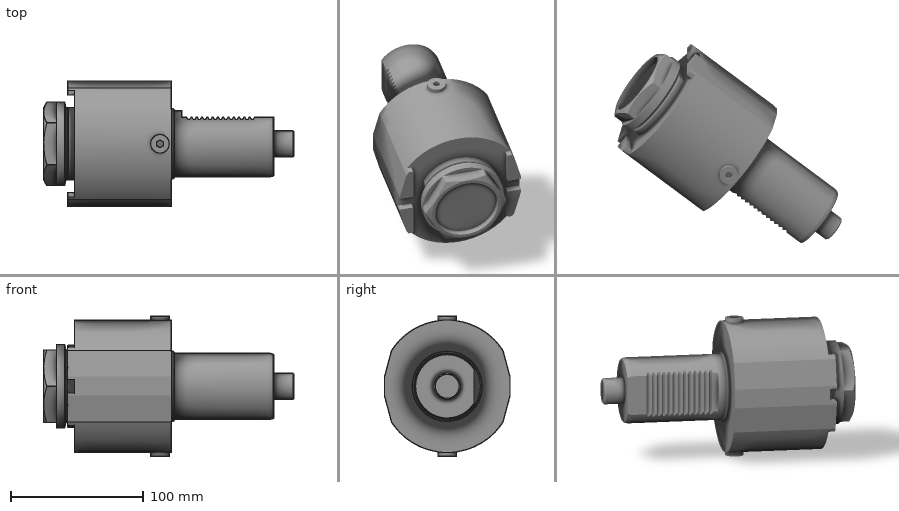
import cadquery as cq
import math

nut_hex_end = 9.9
nut_flange_end = 16.1
collar_start = 18.2
tab_front = 18.4
housing_front = 23.5
spindle_head_end = 30.3
housing_back = 96.6
seal_end = 99.0
flat_start = 104.6
shank_end = 174.2
overall_length = 189.5

nut_across_flats = 55.0
nut_flange_diameter = 63.3
nut_face_diameter = 54.0
nut_chamfer_angle = 30.0
nut_recess_diameter = 49.0
nut_recess_depth = 5.0
nut_back_cone = 1.0
collar_diameter = 62.5
collar_chamfer = 0.8
drive_diameter = 19.9
drive_chamfer = 1.0

housing_diameter = 100.0
housing_width = 95.0
side_flat_height = 14.4
side_slope_angle = 15.0
tab_inner_y = 36.8
tab_height = 59.1
tab_slot_width = 10.2
tab_corner_radius = 0.5
seal_bead_radius = 1.3
seal_outer_diameter = 53.0

shank_diameter = 50.0
end_taper_length = 3.0
end_taper_drop = 0.5
end_edge = 0.5
flat_y = 20.0
notch_count = 13
first_notch_x = 110.0
last_notch_x = 157.9
notch_opening = 3.2
notch_floor = 1.1
notch_depth = 1.7

screw_x = 88.1
screw_diameter = 14.0
screw_span = 106.0
socket_across_flats = 5.1
socket_depth = 2.8


def rod(diameter, x_start, x_end):
    """Round bar along X."""
    return cq.Workplane("YZ", origin=(x_start, 0, 0)).circle(diameter / 2).extrude(x_end - x_start)


def slab(x_start, x_end, y_size, z_size, y_center=0.0):
    """Rectangular block centred in Z."""
    block = cq.Workplane("XY").box(x_end - x_start, y_size, z_size, centered=(False, True, True))
    return block.translate((x_start, y_center, 0))


def turned(points):
    """Solid of revolution about X from (x, radius) points that start and end on the axis."""
    return cq.Workplane("XY").polyline(points).close().revolve(360, (0, 0, 0), (1, 0, 0))


def hex_corner_diameter(across_flats):
    """Diameter of the circle through the corners of a hexagon."""
    return across_flats / math.cos(math.pi / 6)


def make_nut_hex():
    """Hexagon with flats facing +Z and -Z, its corners bevelled at the face and rounded to the flange."""
    hexagon = cq.Workplane("YZ").polygon(6, hex_corner_diameter(nut_across_flats)).extrude(nut_hex_end)
    face_radius = nut_face_diameter / 2
    flange_radius = nut_flange_diameter / 2
    bevel_length = (flange_radius - face_radius) * math.tan(math.radians(nut_chamfer_angle))
    envelope = turned([
        (0, 0),
        (0, face_radius),
        (bevel_length, flange_radius),
        (nut_hex_end, flange_radius),
        (nut_hex_end, 0),
    ])
    return hexagon.intersect(envelope)


def make_spindle():
    """Rotating body: nut, collar with wrench flats, head and drive shaft."""
    neck_radius = nut_across_flats / 2
    flange_radius = nut_flange_diameter / 2
    flange = turned([
        (nut_hex_end, 0),
        (nut_hex_end, flange_radius),
        (nut_flange_end, flange_radius),
        (nut_flange_end + nut_back_cone, neck_radius),
        (collar_start, neck_radius),
        (collar_start, 0),
    ])
    collar = rod(collar_diameter, collar_start, housing_front).faces("<X").chamfer(collar_chamfer)
    collar = collar.intersect(slab(collar_start, housing_front, nut_across_flats, collar_diameter))
    head = rod(collar_diameter, housing_front, spindle_head_end)
    drive = rod(drive_diameter, spindle_head_end, overall_length).faces(">X").chamfer(drive_chamfer)
    spindle = make_nut_hex().union(flange).union(collar).union(head).union(drive)
    return spindle.cut(rod(nut_recess_diameter, 0, nut_recess_depth))


def make_housing_block():
    """Round block whose two sides are cut by an upright flat between two sloped flats."""
    radius = housing_diameter / 2
    side_y = housing_width / 2
    flat_z = side_flat_height / 2
    slope = math.tan(math.radians(side_slope_angle))
    slope_end_y = side_y - (radius - flat_z) * slope
    outline = [
        (side_y, -flat_z),
        (side_y, flat_z),
        (slope_end_y, radius),
        (-slope_end_y, radius),
        (-side_y, flat_z),
        (-side_y, -flat_z),
        (-slope_end_y, -radius),
        (slope_end_y, -radius),
    ]
    length = housing_back - tab_front
    sides = cq.Workplane("YZ", origin=(tab_front, 0, 0)).polyline(outline).close().extrude(length)
    return rod(housing_diameter, tab_front, housing_back).intersect(sides)


def make_tab_space():
    """Material in front of the housing face, less the four tabs that stay standing."""
    space = slab(tab_front, housing_front, housing_diameter, housing_diameter)
    tab_z_size = (tab_height - tab_slot_width) / 2
    tab_z = (tab_height + tab_slot_width) / 4
    tab_y_size = housing_diameter / 2 - tab_inner_y
    for side_y in (-1, 1):
        inner_edges = "|X and >Y" if side_y < 0 else "|X and <Y"
        tab = slab(tab_front, housing_front, tab_y_size, tab_z_size, side_y * (tab_inner_y + tab_y_size / 2))
        tab = tab.edges(inner_edges).fillet(tab_corner_radius)
        for side_z in (-1, 1):
            space = space.cut(tab.translate((0, 0, side_z * tab_z)))
    return space


def make_shank():
    """Cylindrical shank with a tapered end and a notched flat on its +Y side."""
    radius = shank_diameter / 2
    end_radius = radius - end_taper_drop
    shank = turned([
        (housing_back, 0),
        (housing_back, radius),
        (shank_end - end_taper_length, radius),
        (shank_end - end_edge, end_radius),
        (shank_end, end_radius - end_edge),
        (shank_end, 0),
    ])
    flat_depth = radius - flat_y
    shank = shank.cut(slab(flat_start, shank_end, flat_depth, shank_diameter, flat_y + flat_depth / 2))
    notch = (
        cq.Workplane("XY", origin=(0, flat_y, -radius))
        .polyline([
            (-notch_opening / 2, 0),
            (notch_opening / 2, 0),
            (notch_floor / 2, -notch_depth),
            (-notch_floor / 2, -notch_depth),
        ])
        .close()
        .extrude(shank_diameter)
    )
    pitch = (last_notch_x - first_notch_x) / (notch_count - 1)
    for i in range(notch_count):
        shank = shank.cut(notch.translate((first_notch_x + i * pitch, 0, 0)))
    return shank


def make_side_screws():
    """Screws in the top and bottom of the housing, as one bar whose ends are the screw heads."""
    half_span = screw_span / 2
    bar = cq.Workplane("XY", origin=(screw_x, 0, -half_span))
    return bar.circle(screw_diameter / 2).extrude(screw_span)


def make_screw_sockets():
    """Hexagonal sockets with corners toward +Y and -Y."""
    socket = cq.Workplane("XY").polygon(6, hex_corner_diameter(socket_across_flats)).extrude(socket_depth)
    socket = socket.rotate((0, 0, 0), (0, 0, 1), 90)
    top = socket.translate((screw_x, 0, screw_span / 2 - socket_depth))
    bottom = socket.translate((screw_x, 0, -screw_span / 2))
    return top.union(bottom)


def make_seal_bead():
    """Round bead that circles the foot of the shank and is sunk partly into it and the housing back."""
    center_x = seal_end - seal_bead_radius
    center_y = seal_outer_diameter / 2 - seal_bead_radius
    section = cq.Workplane("XY").center(center_x, center_y).circle(seal_bead_radius)
    return section.revolve(360, (0, -center_y, 0), (1, -center_y, 0))


def make_housing():
    """Fixed body: block, side screws, seal bead and shank, bored through for the spindle."""
    housing = make_housing_block().cut(make_tab_space())
    housing = housing.union(make_side_screws()).cut(make_screw_sockets())
    housing = housing.union(make_shank()).union(make_seal_bead())
    head_bore = rod(collar_diameter, housing_front, spindle_head_end)
    drive_bore = rod(drive_diameter, spindle_head_end, shank_end)
    return housing.cut(head_bore).cut(drive_bore)


spindle = make_spindle()
housing = make_housing()

result = cq.Compound.makeCompound([housing.val(), spindle.val()])